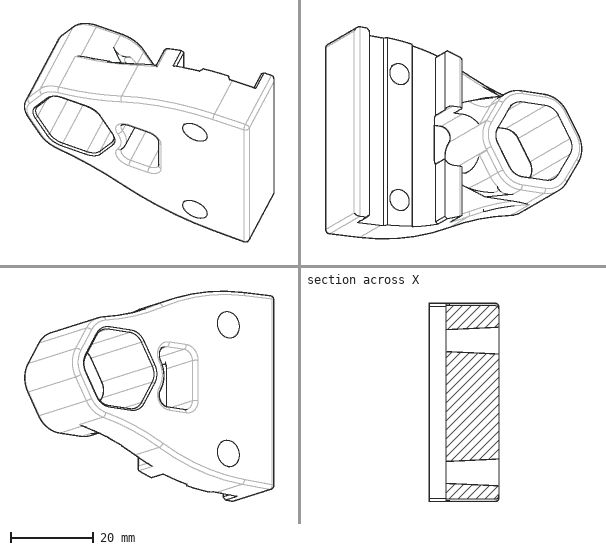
import cadquery as cq
import math


bore_across_flats = 19.0
bore_corner_radius = 4.0
bore_chamfer = 0.5
wall = 3.1
boss_half_flats = bore_across_flats / 2 + wall
boss_corner_radius = bore_corner_radius + wall
boss_height = 22.0
boss_root_fillet = 5.0
bevel_steepness = 3.0

right_end = 45.94
flank_start_angle = math.radians(10.0)
flank_turn_angle = math.radians(25.92)
flank_end_angle = math.radians(1.6)
concave_radius = 63.0
convex_radius = 60.0
edge_radius = 1.0

seat_level = 12.0
post_level = 17.0

seat_center = 32.0
seat_width = 20.5
seat_mouth_chamfer = 0.7
inner_post_start = 16.65
rib_base_width = 7.9
rib_height = 0.9
rib_flank_run = 0.6

hole_half_spacing = 16.0
hole_pair_z = -1.0
hole_front_diameter = 6.5
hole_back_diameter = 5.3

window_right = 22.05
window_half_height = 7.5
window_corner_radius = 2.5

overlap = 1.0
large = 100.0
pick = 0.1


def sketch_plane(y=0.0):
    """Workplane whose local axes are X and Z, placed at the given Y."""
    return cq.Workplane("XZ", origin=(0, y, 0))


def block(x_min, x_max, y_min, y_max, z_min=-large / 2, z_max=large / 2):
    size = (x_max - x_min, y_max - y_min, z_max - z_min)
    return cq.Workplane("XY").box(*size, centered=False).translate((x_min, y_min, z_min))


def polar(center, radius, angle):
    """Point at a radius and a counterclockwise angle from +X."""
    return (center[0] + radius * math.cos(angle), center[1] + radius * math.sin(angle))


def hex_prism(half_flats, corner_radius, y_min, y_max):
    """Hexagonal prism along Y with flats facing +Z and -Z and rounded corners."""
    sixth = math.pi / 3
    corners = [polar((0, 0), half_flats / math.cos(sixth / 2), i * sixth) for i in range(6)]
    prism = sketch_plane(y_min).polyline(corners).close().extrude(y_min - y_max)
    return prism.edges("|Y").fillet(corner_radius)


corner_center_reach = (boss_half_flats - boss_corner_radius) / math.cos(math.pi / 6)
left_corner = (-corner_center_reach, 0.0)
right_corner = (corner_center_reach, 0.0)
upper_left_corner = polar((0, 0), corner_center_reach, 2 * math.pi / 3)
upper_right_corner = polar((0, 0), corner_center_reach, math.pi / 3)
boss_reach = corner_center_reach + boss_corner_radius


def make_body():
    """Full-height body with the tear-drop outline, rounded along its front edge and right end."""
    slant_angle = math.radians(150)
    quarter = math.pi / 2
    flank_start = polar(upper_left_corner, boss_corner_radius, quarter + flank_start_angle)
    concave_center = polar(flank_start, concave_radius, quarter + flank_start_angle)
    flank_turn = polar(concave_center, concave_radius, flank_turn_angle - quarter)
    convex_center = polar(flank_turn, convex_radius, flank_turn_angle - quarter)
    flank_end = polar(convex_center, convex_radius, quarter + flank_end_angle)
    right_top = flank_end[1] + (right_end - flank_end[0]) * math.tan(flank_end_angle)

    left_mid = (math.pi + slant_angle) / 2
    corner_mid = (slant_angle + quarter + flank_start_angle) / 2
    flank_mid_1 = (flank_start_angle + flank_turn_angle) / 2
    flank_mid_2 = (flank_turn_angle + flank_end_angle) / 2
    upper_half = (
        sketch_plane()
        .moveTo(-boss_reach, 0)
        .threePointArc(polar(left_corner, boss_corner_radius, left_mid),
                       polar(left_corner, boss_corner_radius, slant_angle))
        .lineTo(*polar(upper_left_corner, boss_corner_radius, slant_angle))
        .threePointArc(polar(upper_left_corner, boss_corner_radius, corner_mid), flank_start)
        .threePointArc(polar(concave_center, concave_radius, flank_mid_1 - quarter), flank_turn)
        .threePointArc(polar(convex_center, convex_radius, quarter + flank_mid_2), flank_end)
        .lineTo(right_end, right_top)
        .lineTo(right_end, 0)
        .close()
        .extrude(-post_level)
    )
    body = upper_half.union(upper_half.mirror("XY")).clean()
    body = body.faces(">X").edges("|Y").fillet(edge_radius)
    body = body.faces("<Y").edges().fillet(edge_radius)
    rounded_end = block(-large, right_end, 0, post_level).faces(">X").edges(">Y").fillet(edge_radius)
    return body.intersect(rounded_end)


def edges_between(solid, x_min, x_max, y_min, y_max):
    """Edges whose centre lies within the given X and Y limits."""
    return solid.edges(cq.selectors.BoxSelector((x_min, y_min, -large), (x_max, y_max, large)))


def cut_seat(body):
    """Sink the rail seat, leaving its rib and the outer post."""
    half_seat = seat_width / 2
    rib_base = rib_base_width / 2
    rib_top = rib_base - rib_flank_run
    rib_level = seat_level + rib_height
    seat = (
        cq.Workplane("XY", origin=(seat_center, 0, -large / 2))
        .moveTo(-half_seat, seat_level)
        .lineTo(-rib_base, seat_level)
        .lineTo(-rib_top, rib_level)
        .lineTo(rib_top, rib_level)
        .lineTo(rib_base, seat_level)
        .lineTo(half_seat, seat_level)
        .lineTo(half_seat, large)
        .lineTo(-half_seat, large)
        .close()
        .extrude(large)
    )
    body = body.cut(seat)
    for x in (seat_center - half_seat, seat_center + half_seat):
        ends = edges_between(body, x - pick, x + pick, seat_level + pick, post_level - pick)
        body = ends.edges("|Y").chamfer(seat_mouth_chamfer)
    return body


def lower_boss_side(body):
    """Lower everything left of the inner post and round the step and the rim beside it."""
    body = body.cut(block(-large, inner_post_start, seat_level, large))
    post = edges_between(body, inner_post_start - pick, inner_post_start + pick, seat_level + pick, large)
    rim = edges_between(body, upper_left_corner[0], inner_post_start - pick, seat_level - pick, seat_level + pick)
    return post.add(rim).fillet(edge_radius)


def make_boss():
    """Upper part of the hexagonal boss, rounded around its top."""
    boss = hex_prism(boss_half_flats, boss_corner_radius, seat_level - overlap, boss_height)
    return boss.faces(">Y").edges().fillet(edge_radius)


def make_boss_root():
    """Fillet between the boss and the plate on the seat side, kept within the boss flats."""
    plate = block(-large / 2, large / 2, seat_level - overlap, seat_level)
    stump = hex_prism(boss_half_flats, boss_corner_radius, seat_level, boss_height)
    near = boss_reach + overlap
    foot = cq.selectors.BoxSelector((-near, seat_level - pick, -near), (near, seat_level + pick, near))
    root = plate.union(stump).edges(foot).fillet(boss_root_fillet)
    start_x = upper_right_corner[0]
    root = root.intersect(block(start_x, inner_post_start, seat_level - overlap, post_level,
                                -boss_half_flats, boss_half_flats))
    bevel_plane = cq.Plane((start_x, post_level, boss_half_flats), (1, -1, 0), (1, 1, bevel_steepness))
    bevel = cq.Workplane(bevel_plane).rect(large, large).extrude(large)
    return root.cut(bevel).cut(bevel.mirror("XY"))


def make_window():
    """Window with rounded corners whose left side follows the boss."""
    corner_z = window_half_height - window_corner_radius
    reach = boss_corner_radius + window_corner_radius
    left_x = right_corner[0] + math.sqrt(reach**2 - corner_z**2)
    right_x = window_right - window_corner_radius
    touch_angle = math.asin(corner_z / reach)
    corner_mid = (math.pi / 2 + math.pi + touch_angle) / 2
    lower_left = (left_x, -corner_z)
    upper_left = (left_x, corner_z)
    touch = polar(right_corner, boss_corner_radius, touch_angle)
    return (
        sketch_plane(-overlap)
        .moveTo(left_x, window_half_height)
        .threePointArc(polar(upper_left, window_corner_radius, corner_mid), touch)
        .threePointArc((boss_reach, 0), (touch[0], -touch[1]))
        .threePointArc(polar(lower_left, window_corner_radius, -corner_mid), (left_x, -window_half_height))
        .lineTo(right_x, -window_half_height)
        .radiusArc((window_right, -corner_z), -window_corner_radius)
        .lineTo(window_right, corner_z)
        .radiusArc((right_x, window_half_height), -window_corner_radius)
        .close()
        .extrude(-large)
    )


def cut_window(body):
    body = body.cut(make_window())
    rim = cq.selectors.BoxSelector(
        (boss_half_flats - overlap, -pick, -window_half_height - pick),
        (window_right + pick, pick, window_half_height + pick))
    return body.edges(rim).fillet(edge_radius)


def cut_bore(body):
    """Cut the hexagonal bore and chamfer its front edge."""
    half_flats = bore_across_flats / 2
    body = body.cut(hex_prism(half_flats, bore_corner_radius, -overlap, boss_height + overlap))
    half_corners = half_flats / math.cos(math.pi / 6)
    rim = cq.selectors.BoxSelector(
        (-half_corners, -pick, -half_flats - pick),
        (half_corners, pick, half_flats + pick))
    return body.edges(rim).chamfer(bore_chamfer)


def make_screw_hole(z):
    """Hole tapering from the front face to the top of the rib."""
    rib_level = seat_level + rib_height
    return (
        cq.Workplane("XY", origin=(seat_center, 0, z))
        .lineTo(hole_front_diameter / 2, 0)
        .lineTo(hole_back_diameter / 2, rib_level)
        .lineTo(0, rib_level)
        .close()
        .revolve(360, (0, 0), (0, 1))
    )


result = lower_boss_side(cut_seat(make_body()))
result = result.union(make_boss_root()).union(make_boss())
result = cut_window(cut_bore(result))
for side in (-1, 1):
    result = result.cut(make_screw_hole(hole_pair_z + side * hole_half_spacing))